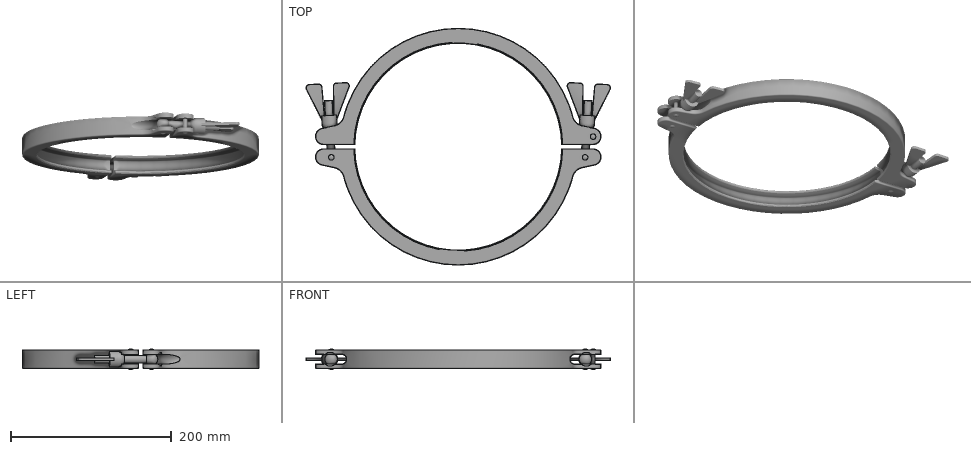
import cadquery as cq
import math

OUTER_R = 147.5
INNER_R = 129.0
HEIGHT = 23.0
HALF_GAP = 2.5
EDGE_FILLET = 1.33

GROOVE_R = 137.2
GROOVE_MOUTH = 16.5
GROOVE_FLOOR = 12.0
GROOVE_FILLET = 1.33

LUG_END_R = 10.2
LUG_TIP_X = 177.8
LUG_SLOPE = 12
LUG_ROOT_X = 136.5
LUG_ROOT_FILLET = 15.0
SLOT_HEIGHT = 12.0
SLOT_ROOT_X = 139.0

PIVOT_X = 158.0
PIVOT_Y = -13.3
BOLT_TILT = 3
ROD_R = 5.0
ROD_LENGTH = 71.0
EYE_R = 8.0

NUT_R = 9.5
NUT_TOP = 52.3
NUT_BALL = 42.0
WING_THICKNESS = 3.5
WING_TOP = 92.0
WING_ROOT = 45.5
WING_TIP_OUT = 29.0
WING_TIP_IN = 7.2
WING_ROOT_OUT = 8.7
WING_ROOT_IN = 5.5
WING_CORNER_R = 4.0

PIN_R = 2.5
PIN_HEAD_R = 3.5
PIN_HEAD_RISE = 1.0
STOP_PIN_X = 168.0
STOP_PIN_Y = 12.5

SIDES = (-1, 1)
TOLERANCE = 0.05


def lug_plate(side):
    """Full-height plate of one lug of the upper half."""
    slope = math.radians(LUG_SLOPE)
    end_x = LUG_TIP_X - LUG_END_R
    end_y = HALF_GAP + LUG_END_R
    tangent_x = end_x + LUG_END_R * math.sin(slope)
    tangent_y = end_y + LUG_END_R * math.cos(slope)
    root_y = tangent_y + (tangent_x - LUG_ROOT_X) * math.tan(slope)
    plate = (
        cq.Workplane("XY", origin=(0, 0, -HEIGHT / 2))
        .moveTo(LUG_ROOT_X, HALF_GAP)
        .lineTo(end_x, HALF_GAP)
        .threePointArc((LUG_TIP_X, end_y), (tangent_x, tangent_y))
        .lineTo(LUG_ROOT_X, root_y)
        .close()
        .extrude(HEIGHT)
    )
    return plate if side > 0 else plate.mirror("YZ")


def root_edges(body):
    """Vertical edges where the lug flanks meet the outside of the ring."""
    edges = [
        edge
        for edge in body.edges("|Z").vals()
        if abs(math.hypot(edge.Center().x, edge.Center().y) - OUTER_R) < TOLERANCE
    ]
    return body.newObject(edges)


def groove_edges(body):
    """Circular edges at the mouth and the floor of the groove."""
    reach = (GROOVE_MOUTH / 2 + HEIGHT / 2 - EDGE_FILLET) / 2
    edges = [
        edge
        for edge in body.edges("%CIRCLE").vals()
        if abs(edge.Center().z) < reach and edge.radius() < OUTER_R and edge.radius() >= INNER_R - TOLERANCE
    ]
    return body.newObject(edges)


def slot_cutter(side):
    """Slot between the two plates of a lug, with a round root in the ring."""
    length = 2 * (LUG_TIP_X - SLOT_ROOT_X)
    return (
        cq.Workplane("XZ")
        .center(side * (SLOT_ROOT_X + length / 2), 0)
        .slot2D(length, SLOT_HEIGHT)
        .extrude(-OUTER_R)
    )


def on_bolt(shape, side):
    """Move a shape built along +Y at the origin onto a swing bolt."""
    return shape.rotate((0, 0, 0), (0, 0, 1), -side * BOLT_TILT).translate((side * PIVOT_X, PIVOT_Y, 0))


def cylinder_along_y(radius, start, end):
    """Cylinder on the Y axis between two Y positions."""
    return cq.Workplane("XZ", origin=(0, start, 0)).circle(radius).extrude(start - end)


def nut_barrel():
    """Round nut body with a ball-shaped base; its shape also forms the seat in the lugs."""
    base = cq.Workplane("XY").sphere(NUT_R).translate((0, NUT_BALL, 0))
    return base.union(cylinder_along_y(NUT_R, NUT_BALL, NUT_TOP))


def groove_cutter():
    """Ring with a tapered section, starting inside the lips so that it cuts clear through them."""
    lip_r = INNER_R - EDGE_FILLET
    taper = (GROOVE_MOUTH - GROOVE_FLOOR) / 2 / (GROOVE_R - INNER_R)
    lip_half = GROOVE_MOUTH / 2 + taper * (INNER_R - lip_r)
    return (
        cq.Workplane("XZ")
        .polyline(
            [
                (lip_r, -lip_half),
                (GROOVE_R, -GROOVE_FLOOR / 2),
                (GROOVE_R, GROOVE_FLOOR / 2),
                (lip_r, lip_half),
            ]
        )
        .close()
        .revolve(360, (0, 0, 0), (0, 1, 0))
    )


def clamp_half():
    """One clamp half on the +Y side, without pins."""
    base = cq.Workplane("XY", origin=(0, 0, -HEIGHT / 2))
    half = base.circle(OUTER_R).extrude(HEIGHT)
    below = cq.Workplane("XY").box(3 * OUTER_R, 2 * OUTER_R, 2 * HEIGHT)
    half = half.cut(below.translate((0, HALF_GAP - OUTER_R, 0)))
    for side in SIDES:
        half = half.union(lug_plate(side))
    half = root_edges(half).fillet(LUG_ROOT_FILLET)
    half = half.cut(base.circle(INNER_R).extrude(HEIGHT))
    half = half.faces("<Z or >Z").edges().fillet(EDGE_FILLET)
    half = half.cut(groove_cutter())
    half = groove_edges(half).fillet(GROOVE_FILLET)
    for side in SIDES:
        half = half.cut(slot_cutter(side))
        half = half.cut(on_bolt(nut_barrel(), side))
    return half


def pin(x, y):
    """Rivet through a lug, with a low domed head on each face."""
    face_z = HEIGHT / 2
    cap_r = (PIN_HEAD_R**2 + PIN_HEAD_RISE**2) / (2 * PIN_HEAD_RISE)
    cap_center_z = face_z + PIN_HEAD_RISE - cap_r
    mid_r = PIN_HEAD_R / 2
    mid_z = cap_center_z + math.sqrt(cap_r**2 - mid_r**2)
    profile = (
        cq.Workplane("XZ")
        .moveTo(0, 0)
        .lineTo(PIN_R, 0)
        .lineTo(PIN_R, face_z)
        .lineTo(PIN_HEAD_R, face_z)
        .threePointArc((mid_r, mid_z), (0, face_z + PIN_HEAD_RISE))
        .close()
        .revolve(360, (0, 0, 0), (0, 1, 0))
    )
    return profile.union(profile.mirror("XY")).translate((x, y, 0))


def wing(hand):
    """One flat wing of a nut."""
    plate = (
        cq.Workplane("XY", origin=(0, 0, -WING_THICKNESS / 2))
        .polyline(
            [
                (WING_ROOT_IN, WING_ROOT),
                (WING_ROOT_OUT, WING_ROOT),
                (WING_TIP_OUT, WING_TOP),
                (WING_TIP_IN, WING_TOP),
            ]
        )
        .close()
        .extrude(WING_THICKNESS)
    )
    plate = plate.edges("|Z and >Y").fillet(WING_CORNER_R)
    return plate if hand > 0 else plate.mirror("YZ")


def swing_bolt(side):
    """Eye bolt with its wing nut, leaning out from its pivot."""
    bolt = cq.Workplane("XY").sphere(EYE_R)
    flat = cq.Workplane("XY").box(3 * EYE_R, 3 * EYE_R, SLOT_HEIGHT)
    bolt = bolt.intersect(flat)
    bolt = bolt.union(cylinder_along_y(ROD_R, 0, ROD_LENGTH))
    bolt = bolt.union(nut_barrel())
    for hand in SIDES:
        bolt = bolt.union(wing(hand))
    return on_bolt(bolt, side)


upper_half = clamp_half().union(pin(STOP_PIN_X, STOP_PIN_Y))

lower_half = clamp_half().mirror("XZ")
for side in SIDES:
    lower_half = lower_half.union(swing_bolt(side))
    lower_half = lower_half.union(pin(side * PIVOT_X, PIVOT_Y))

result = cq.Compound.makeCompound([*upper_half.solids().vals(), *lower_half.solids().vals()])